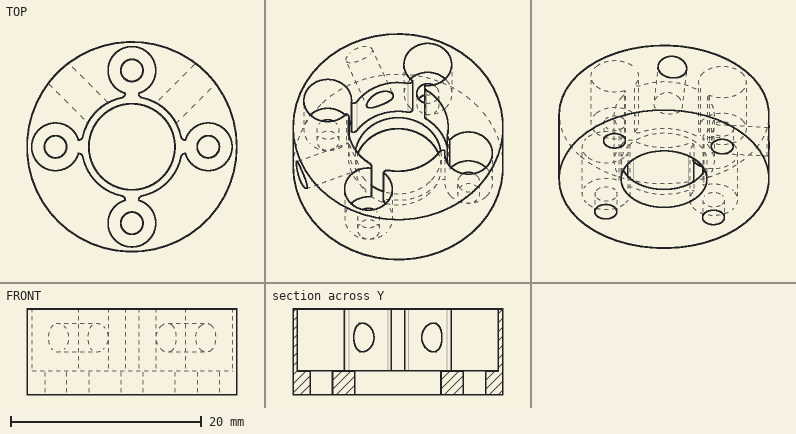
import cadquery as cq

body_diameter = 22.0
body_height = 9.0
bore_diameter = 9.0

floor_thickness = 2.5
recess_depth = body_height - floor_thickness
recess_diameter = 10.5
lobe_diameter = 5.0
lobe_count = 4
lobe_circle_radius = 8.0
neck_width = 1.4
neck_fillet = 0.45

screw_hole_diameter = 2.3

side_hole_diameter = 3.0
side_hole_height = 6.0
side_hole_angles = (45, 135)


def make_body():
    """Plain ring with the central through bore."""
    disc = cq.Workplane("XY").circle(body_diameter / 2).extrude(body_height)
    return disc.faces(">Z").workplane().hole(bore_diameter)


def make_neck_bar():
    """Straight bar across the axis along X, reaching the lobe centres at both ends."""
    return (
        cq.Workplane("XY", origin=(0, 0, floor_thickness))
        .rect(2 * lobe_circle_radius, neck_width)
        .extrude(recess_depth)
    )


def make_recess():
    """Central pocket joined to four round lobes by narrow, rounded necks."""
    floor = cq.Workplane("XY", origin=(0, 0, floor_thickness))
    core = floor.circle(recess_diameter / 2).extrude(recess_depth)
    bar = make_neck_bar()
    crossed_bar = bar.rotate((0, 0, 0), (0, 0, 1), 90)
    spokes = core.union(bar).union(crossed_bar)

    reach = recess_diameter / 2
    pocket_corners = cq.selectors.BoxSelector((-reach, -reach, 0), (reach, reach, body_height))
    spokes = spokes.edges("|Z").edges(pocket_corners).fillet(neck_fillet)

    lobes = (
        floor.polarArray(lobe_circle_radius, 0, 360, lobe_count)
        .circle(lobe_diameter / 2)
        .extrude(recess_depth)
    )
    return spokes.union(lobes)


def make_screw_holes():
    """Through holes on the lobe centres."""
    return (
        cq.Workplane("XY")
        .polarArray(lobe_circle_radius, 0, 360, lobe_count)
        .circle(screw_hole_diameter / 2)
        .extrude(body_height)
    )


def make_side_hole(angle):
    """Radial hole from the central pocket out through the wall."""
    hole = (
        cq.Workplane("YZ", origin=(0, 0, side_hole_height))
        .circle(side_hole_diameter / 2)
        .extrude(body_diameter)
    )
    return hole.rotate((0, 0, 0), (0, 0, 1), angle)


result = make_body().cut(make_recess()).cut(make_screw_holes())
for side_hole_angle in side_hole_angles:
    result = result.cut(make_side_hole(side_hole_angle))